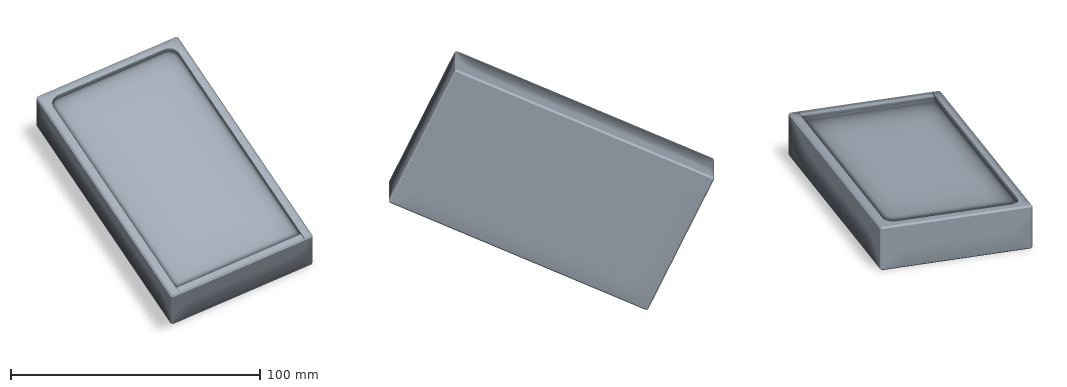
import cadquery as cq

length = 114.6
width = 64.6
height = 19.3
edge_chamfer = 0.7

rim = 3.7
corner_radius = 4.6
recess_depth = 2.5
plate_thickness = 2.3

bar_thickness = 3.7
root_chamfer = 0.5

end_x = length / 2
opening_length = length - rim
opening_width = width - 2 * rim
opening_centre_x = rim / 2
plate_top = height - recess_depth
plate_bottom = plate_top - plate_thickness
bar_inner_x = end_x - bar_thickness


def opening_block(bottom, block_height):
    """Block with the outline of the opening, rounded at the closed -X end."""
    return (
        cq.Workplane("XY", origin=(opening_centre_x, 0, bottom))
        .rect(opening_length, opening_width)
        .extrude(block_height)
        .edges("|Z and <X")
        .fillet(corner_radius)
    )


def make_housing():
    """Chamfered block with an opening for the lid."""
    block = (
        cq.Workplane("XY")
        .box(length, width, height, centered=(True, True, False))
        .edges()
        .chamfer(edge_chamfer)
    )
    return block.cut(opening_block(plate_bottom, height - plate_bottom))


def make_end_bar():
    """Bar that closes the +X end, with chamfered top edges."""
    return (
        cq.Workplane("XY", origin=(end_x - bar_thickness / 2, 0, plate_bottom))
        .box(bar_thickness, opening_width, height - plate_bottom, centered=(True, True, False))
        .faces(">Z")
        .edges()
        .chamfer(edge_chamfer)
    )


def make_root_strip():
    """Triangular strip in the inner corner between plate and bar."""
    return (
        cq.Workplane("XZ", origin=(0, opening_width / 2, 0))
        .moveTo(bar_inner_x, plate_top)
        .lineTo(bar_inner_x - root_chamfer, plate_top)
        .lineTo(bar_inner_x, plate_top + root_chamfer)
        .close()
        .extrude(opening_width)
    )


def make_lid():
    """Flat plate with an upright bar at its +X end."""
    plate = opening_block(plate_bottom, plate_thickness)
    return plate.union(make_end_bar()).union(make_root_strip())


housing = make_housing()
lid = make_lid()

result = cq.Compound.makeCompound([housing.val(), lid.val()])